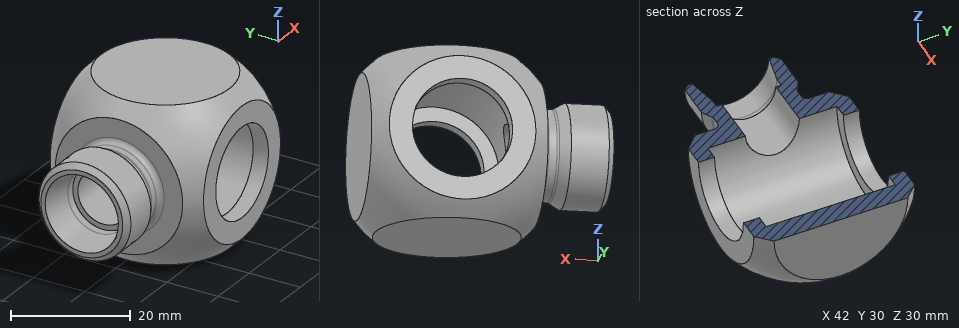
import cadquery as cq
import math

body_size = 30.0
sphere_diameter = 39.0
half_body = body_size / 2

bore_diameter = 17.0
chamber_diameter = 22.0
chamber_width = 24.0

stub_length = 12.0
stub_diameter = 18.0
stub_chamfer = 1.0
undercut_diameter = 15.7
undercut_start = 7.44
undercut_slope = 30.0
undercut_fillet = 0.8
root_fillet = 1.0

cone_mouth_diameter = 14.3
cone_half_angle = 12.0
tube_diameter = 12.0
tube_depth = 7.0
passage_diameter = 10.0

stub_end = -half_body - stub_length


def make_body():
    cube = cq.Workplane("XY").box(body_size, body_size, body_size)
    sphere = cq.Workplane("XY").sphere(sphere_diameter / 2)
    return cube.intersect(sphere)


def y_cylinder(diameter, length):
    """Cylinder along Y, centred on the origin."""
    return cq.Workplane("XZ").circle(diameter / 2).extrude(length / 2, both=True)


def revolve_about_x(profile):
    return profile.close().revolve(360, (0, 0, 0), (1, 0, 0))


def make_stub():
    outer = stub_diameter / 2
    neck = undercut_diameter / 2
    slope_angle = math.radians(undercut_slope)
    slope_start = stub_end + undercut_start
    slope_end = slope_start + (outer - neck) / math.tan(slope_angle)

    tangent = undercut_fillet * math.tan(slope_angle / 2)
    fillet_start = (
        slope_end - tangent * math.cos(slope_angle),
        neck + tangent * math.sin(slope_angle),
    )
    neck_start = (slope_end + tangent, neck)

    profile = (
        cq.Workplane("XY")
        .moveTo(stub_end, 0)
        .lineTo(stub_end, outer - stub_chamfer)
        .lineTo(stub_end + stub_chamfer, outer)
        .lineTo(slope_start, outer)
        .lineTo(*fillet_start)
        .tangentArcPoint(neck_start, relative=False)
        .lineTo(-half_body - root_fillet, neck)
        .tangentArcPoint((-half_body, neck + root_fillet), relative=False)
        .lineTo(0, neck + root_fillet)
        .lineTo(0, 0)
    )
    return revolve_about_x(profile)


def make_tube_socket():
    mouth = cone_mouth_diameter / 2
    tube = tube_diameter / 2
    passage = passage_diameter / 2
    cone_length = (mouth - tube) / math.tan(math.radians(cone_half_angle))
    profile = (
        cq.Workplane("XY")
        .moveTo(stub_end, 0)
        .lineTo(stub_end, mouth)
        .lineTo(stub_end + cone_length, tube)
        .lineTo(stub_end + tube_depth, tube)
        .lineTo(stub_end + tube_depth, passage)
        .lineTo(0, passage)
        .lineTo(0, 0)
    )
    return revolve_about_x(profile)


result = (
    make_body()
    .union(make_stub())
    .cut(y_cylinder(bore_diameter, body_size))
    .cut(y_cylinder(chamber_diameter, chamber_width))
    .cut(make_tube_socket())
)